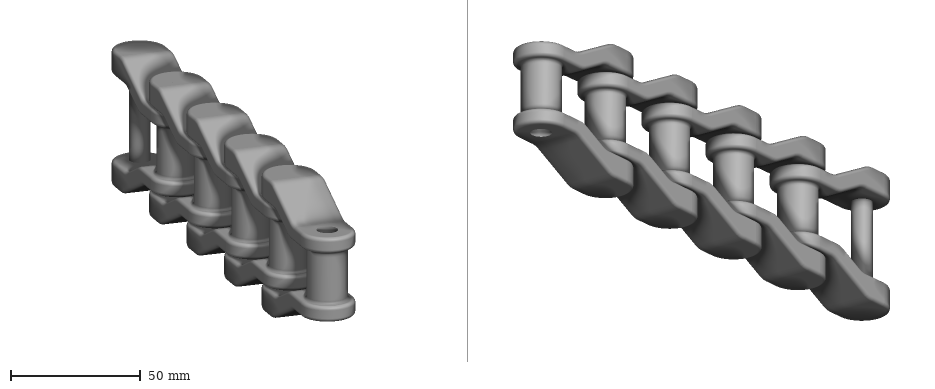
import cadquery as cq

link_count = 5
overall_length = 228.0
chain_height = 55.5
link_width = 21.7
pitch = (overall_length - link_width) / link_count
end_radius = link_width / 2

outer_top = chain_height / 2
outer_bottom = 17.5
inner_top = 17.0
inner_bottom = 10.7

upper_bend_start = 9.0
upper_bend_end = 31.2
lower_bend_start = 13.2
lower_bend_end = 27.5
bend_radius = 9.1

edge_round = 1.5

pin_diameter = 8.5
barrel_diameter = 16.0
barrel_fillet = 1.1

selection_margin = 0.2


def bent_plate():
    """Upper side plate of a link: wide-set end at X = 0, narrow-set end at X = pitch."""
    rear = -end_radius
    front = pitch + end_radius
    side_profile = (
        cq.Workplane("XZ")
        .polyline([
            (rear, outer_top),
            (upper_bend_start, outer_top),
            (upper_bend_end, inner_top),
            (front, inner_top),
            (front, inner_bottom),
            (lower_bend_end, inner_bottom),
            (lower_bend_start, outer_bottom),
            (rear, outer_bottom),
        ])
        .close()
        .extrude(link_width / 2, both=True)
    )
    bends = cq.selectors.BoxSelector(
        (0, -link_width, 0), (pitch, link_width, 2 * outer_top)
    )
    bent_bar = side_profile.edges("|Y").edges(bends).fillet(bend_radius)

    plan_outline = (
        cq.Workplane("XY")
        .center(pitch / 2, 0)
        .slot2D(pitch + link_width, link_width)
        .extrude(outer_top)
    )
    plate = bent_bar.intersect(plan_outline)
    return plate.faces("+Z or -Z").edges("not |Y").fillet(edge_round)


def make_pin():
    """Plain pin, flush with the outer faces of the wide-set plates."""
    return (
        cq.Workplane("XY", origin=(0, 0, -outer_top))
        .circle(pin_diameter / 2)
        .extrude(2 * outer_top)
    )


def make_link():
    """One cast link: two mirrored side plates joined by a hollow barrel."""
    upper_plate = bent_plate()
    lower_plate = upper_plate.mirror("XY")
    barrel = (
        cq.Workplane("XY", origin=(pitch, 0, -inner_bottom))
        .circle(barrel_diameter / 2)
        .extrude(2 * inner_bottom)
    )
    link = upper_plate.union(barrel).union(lower_plate)

    barrel_rims = cq.selectors.BoxSelector(
        (pitch - selection_margin, -selection_margin, -inner_bottom - selection_margin),
        (pitch + selection_margin, selection_margin, inner_bottom + selection_margin),
    )
    link = link.edges("%CIRCLE").edges(barrel_rims).fillet(barrel_fillet)

    pin = make_pin()
    for hole_x in (0, pitch):
        link = link.cut(pin.translate((hole_x, 0, 0)))
    return link


first_pin_x = end_radius - overall_length / 2
link = make_link()
pin = make_pin()

links = []
pins = []
for index in range(link_count):
    position = (first_pin_x + index * pitch, 0, 0)
    links.append(link.translate(position).val())
    pins.append(pin.translate(position).val())

result = cq.Compound.makeCompound([*links, *pins])